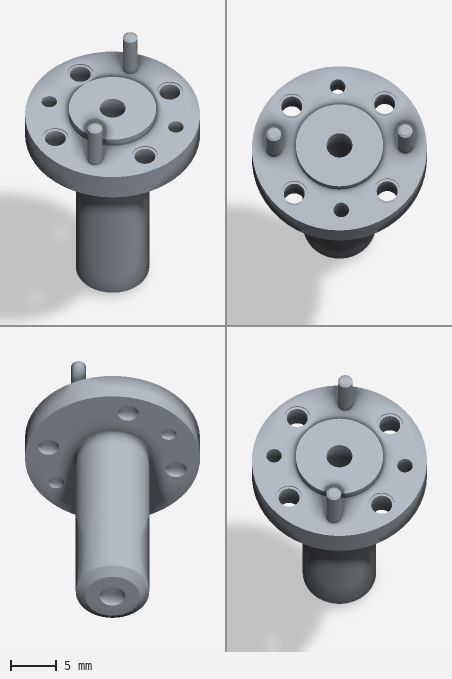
import cadquery as cq
import math

total_height = 29.55
pin_projection = 5.08
flange_thickness = 3.15
boss_height = 0.95
flange_top = total_height - pin_projection
flange_bottom = flange_top - flange_thickness

flange_diameter = 19.05
boss_diameter = 9.5
stem_diameter = 8.0
bore_diameter = 2.8
stem_chamfer_height = 0.7
stem_chamfer_inset = 1.03
stem_root_fillet = 0.27

pitch_radius = 7.15
screw_hole_diameter = 2.27
counterbore_diameter = 2.85
counterbore_depth = 0.15
small_hole_diameter = 1.68
pin_diameter = 1.6
pin_chamfer_inset = 0.27
pin_chamfer_height = 0.18
screw_hole_angles = (0, 90, 180, 270)
small_hole_angles = (45, 225)
pin_angles = (135, 315)


def pitch_points(angles):
    """Points on the pitch circle at the given angles in degrees."""
    return [
        (pitch_radius * math.cos(math.radians(a)), pitch_radius * math.sin(math.radians(a)))
        for a in angles
    ]


def make_body():
    """Revolved stem, flange and raised boss."""
    stem_radius = stem_diameter / 2
    flange_radius = flange_diameter / 2
    boss_radius = boss_diameter / 2
    boss_top = flange_top + boss_height
    arc_offset = stem_root_fillet * (1 - math.sqrt(0.5))
    return (
        cq.Workplane("XZ")
        .moveTo(0, 0)
        .lineTo(stem_radius - stem_chamfer_inset, 0)
        .lineTo(stem_radius, stem_chamfer_height)
        .lineTo(stem_radius, flange_bottom - stem_root_fillet)
        .threePointArc(
            (stem_radius + arc_offset, flange_bottom - arc_offset),
            (stem_radius + stem_root_fillet, flange_bottom),
        )
        .lineTo(flange_radius, flange_bottom)
        .lineTo(flange_radius, flange_top)
        .lineTo(boss_radius, flange_top)
        .lineTo(boss_radius, boss_top)
        .lineTo(0, boss_top)
        .close()
        .revolve(360, (0, 0, 0), (0, 1, 0))
    )


def make_round_cutter(diameter, bottom):
    """Cylinder on the Z axis reaching from bottom past the top of the part."""
    return cq.Workplane("XY").workplane(offset=bottom).circle(diameter / 2).extrude(total_height)


def make_screw_hole():
    """Through hole with a shallow counterbore in the flange top."""
    counterbore = make_round_cutter(counterbore_diameter, flange_top - counterbore_depth)
    return make_round_cutter(screw_hole_diameter, flange_bottom).union(counterbore)


def make_pin():
    """Pin seated through the flange, with a chamfered tip."""
    return (
        cq.Workplane("XY")
        .workplane(offset=flange_bottom)
        .circle(pin_diameter / 2)
        .extrude(total_height - flange_bottom)
        .faces(">Z")
        .edges()
        .chamfer(pin_chamfer_height, pin_chamfer_inset)
    )


result = make_body().cut(make_round_cutter(bore_diameter, 0))

screw_hole = make_screw_hole()
for x, y in pitch_points(screw_hole_angles):
    result = result.cut(screw_hole.translate((x, y, 0)))

small_hole = make_round_cutter(small_hole_diameter, flange_bottom)
for x, y in pitch_points(small_hole_angles):
    result = result.cut(small_hole.translate((x, y, 0)))

pin = make_pin()
for x, y in pitch_points(pin_angles):
    result = result.union(pin.translate((x, y, 0)))